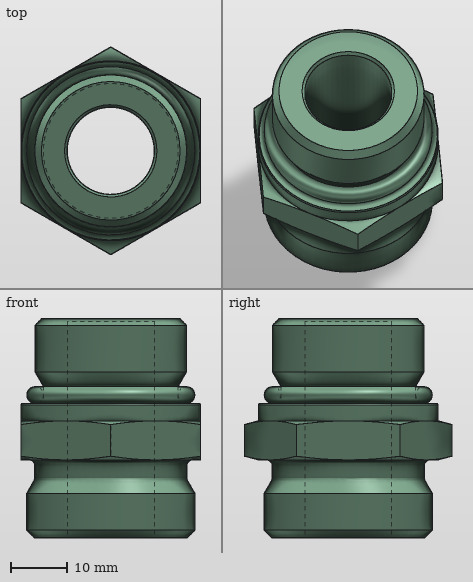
import cadquery as cq
import math

total_height = 39.0
lower_cone_bottom = 7.88
hex_bottom = 13.9
hex_top = 20.83
collar_top = 23.95
upper_cone_top = 29.55

lower_diameter = 30.0
groove_diameter = 27.1
neck_diameter = 24.0
upper_diameter = 27.0
bore_diameter = 15.5
hex_across_flats = 32.0
collar_diameter = hex_across_flats

lower_chamfer = 1.4
upper_chamfer = 1.17
bore_chamfer = 0.45
collar_chamfer_height = 0.3
collar_chamfer_width = 0.15
groove_fillet = 1.0
neck_fillet = 1.0
cone_angle = 30.0
hex_chamfer_angle = 15.0

ring_thickness = 2.95

lower_radius = lower_diameter / 2
groove_radius = groove_diameter / 2
collar_radius = collar_diameter / 2
neck_radius = neck_diameter / 2
upper_radius = upper_diameter / 2
bore_radius = bore_diameter / 2
hex_corner_radius = hex_across_flats / math.sqrt(3)
lower_cone_height = (lower_radius - groove_radius) / math.tan(math.radians(cone_angle))
lower_cone_top = lower_cone_bottom + lower_cone_height
upper_cone_height = (upper_radius - neck_radius) / math.tan(math.radians(cone_angle))
neck_top = upper_cone_top - upper_cone_height


def revolve_profile(profile):
    """Turn a closed (radius, height) outline about the Z axis."""
    return profile.close().revolve(360, (0, 0, 0), (0, 1, 0))


def make_lower_end():
    """Chamfered lower spigot, cone and rounded groove up to the hexagon."""
    body = revolve_profile(
        cq.Workplane("XZ")
        .lineTo(lower_radius - lower_chamfer, 0)
        .lineTo(lower_radius, lower_chamfer)
        .lineTo(lower_radius, lower_cone_bottom)
        .lineTo(groove_radius, lower_cone_top)
        .lineTo(groove_radius, hex_bottom - groove_fillet)
        .radiusArc((groove_radius + groove_fillet, hex_bottom), groove_fillet)
        .lineTo(0, hex_bottom)
    )
    cone_top_circle = cq.selectors.NearestToPointSelector((0, 0, lower_cone_top))
    return body.edges(cone_top_circle).fillet(groove_fillet)


def make_hexagon():
    """Hexagon with corners on Y, its corners beveled by a cone above and below."""
    prism = (
        cq.Workplane("XY", origin=(0, 0, hex_bottom))
        .polygon(6, 2 * hex_corner_radius)
        .extrude(hex_top - hex_bottom)
        .rotate((0, 0, 0), (0, 0, 1), 90)
    )
    corner_drop = (hex_corner_radius - collar_radius) * math.tan(math.radians(hex_chamfer_angle))
    bevel_envelope = revolve_profile(
        cq.Workplane("XZ")
        .moveTo(0, hex_bottom)
        .lineTo(collar_radius, hex_bottom)
        .lineTo(hex_corner_radius, hex_bottom + corner_drop)
        .lineTo(hex_corner_radius, hex_top - corner_drop)
        .lineTo(collar_radius, hex_top)
        .lineTo(0, hex_top)
    )
    return prism.intersect(bevel_envelope)


def make_upper_end():
    """Collar, seal neck blended into a cone, and chamfered upper spigot."""
    body = revolve_profile(
        cq.Workplane("XZ")
        .moveTo(0, hex_top)
        .lineTo(collar_radius, hex_top)
        .lineTo(collar_radius, collar_top - collar_chamfer_height)
        .lineTo(collar_radius - collar_chamfer_width, collar_top)
        .lineTo(neck_radius, collar_top)
        .lineTo(neck_radius, neck_top)
        .lineTo(upper_radius, upper_cone_top)
        .lineTo(upper_radius, total_height - upper_chamfer)
        .lineTo(upper_radius - upper_chamfer, total_height)
        .lineTo(0, total_height)
    )
    neck_top_circle = cq.selectors.NearestToPointSelector((0, 0, neck_top))
    return body.edges(neck_top_circle).fillet(neck_fillet)


def make_bore():
    """Through bore with a chamfered mouth at the top."""
    return revolve_profile(
        cq.Workplane("XZ")
        .lineTo(bore_radius, 0)
        .lineTo(bore_radius, total_height - bore_chamfer)
        .lineTo(bore_radius + bore_chamfer, total_height)
        .lineTo(0, total_height)
    )


def make_fitting():
    return make_lower_end().union(make_hexagon()).union(make_upper_end()).cut(make_bore())


def make_seal_ring():
    """Round-section ring around the neck, resting on the collar."""
    section_radius = ring_thickness / 2
    return (
        cq.Workplane("XZ")
        .center(neck_radius + section_radius, collar_top + section_radius)
        .circle(section_radius)
        .revolve(360, (-neck_radius - section_radius, 0, 0), (-neck_radius - section_radius, 1, 0))
    )


fitting = make_fitting()
seal_ring = make_seal_ring()

result = cq.Compound.makeCompound([fitting.val(), seal_ring.val()])